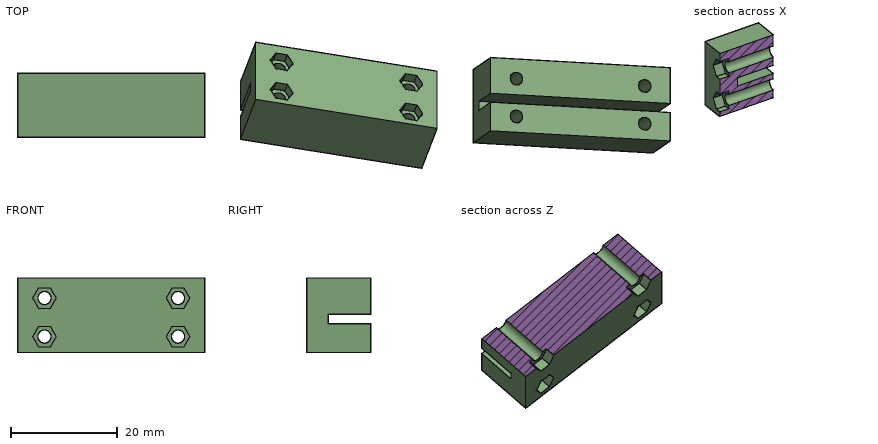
import cadquery as cq
import math

length = 35.0
depth = 12.0
height = 14.0

slot_height = 1.7
slot_depth = 7.95
slot_center_z = -0.7

hole_spacing_x = 25.0
hole_spacing_z = 7.2
hole_pattern_z = -0.4
hole_diameter = 2.4
nut_across_flats = 3.8
nut_pocket_depth = 2.0
nut_across_corners = nut_across_flats / math.cos(math.pi / 6)


def make_slot():
    return (
        cq.Workplane("XY")
        .box(length, slot_depth, slot_height)
        .translate((0, (depth - slot_depth) / 2, slot_center_z))
    )


def hole_centers():
    """Workplane on the front face carrying the four bolt positions."""
    return (
        cq.Workplane("XZ", origin=(0, -depth / 2, hole_pattern_z))
        .rarray(hole_spacing_x, hole_spacing_z, 2, 2)
    )


bolt_holes = hole_centers().circle(hole_diameter / 2).extrude(-depth)
nut_pockets = hole_centers().polygon(6, nut_across_corners).extrude(-nut_pocket_depth)

block = cq.Workplane("XY").box(length, depth, height)
result = block.cut(make_slot()).cut(bolt_holes).cut(nut_pockets)